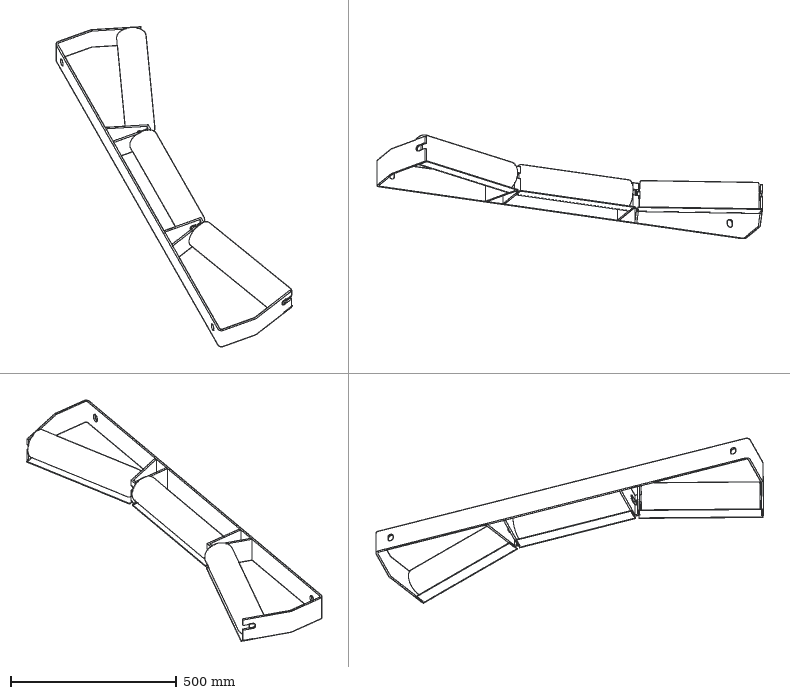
import cadquery as cq
import math


overall_length = 1210.0
overall_depth = 271.98
bar_thickness = 6.0
bar_height = 80.0
bar_top = 30.0
bar_bottom = bar_top - bar_height
bar_middle = (bar_top + bar_bottom) / 2
inner_bend_radius = bar_thickness
outer_bend_radius = inner_bend_radius + bar_thickness
arm_bend_y = 121.0
arm_tip_y = 263.0
bracket_top_y = 128.5

mount_slot_x = 554.0
mount_slot_z = -8.0
mount_slot_width = 17.0
mount_slot_height = 25.0

roller_radius = 45.0
roller_length = 360.0
roller_rounding = 5.0
axle_length = 375.0
axle_width = 18.0
axle_slot_depth = 60.0

axle_end = axle_length / 2
bar_near_face = axle_end - bar_thickness / 2
bar_far_face = axle_end + bar_thickness / 2

strip_width = 36.0
strip_thickness = 2.5

trough_angle = 20.0
lean = math.radians(trough_angle)
middle_axis_y = 100.0
side_axis_x = 385.0
side_roller_reach = (
    (roller_length / 2 - roller_rounding) * math.sin(lean)
    + (roller_radius - roller_rounding) * math.cos(lean)
    + roller_rounding
)
side_axis_y = overall_depth - side_roller_reach

stations = [
    (-side_axis_x, side_axis_y, -trough_angle),
    (0.0, middle_axis_y, 0.0),
    (side_axis_x, side_axis_y, trough_angle),
]


def place(shape, station):
    """Move a shape made along X at the origin to a roller station."""
    x, y, angle = station
    return shape.rotate((0, 0, 0), (0, 0, 1), angle).translate((x, y, 0))


def axle_bar(length, flat_y):
    """Bar along X, round on its -Y side, with a flat +Y side at Y = flat_y."""
    half_width = axle_width / 2
    return (
        cq.Workplane("YZ")
        .workplane(offset=-length / 2)
        .moveTo(flat_y, half_width)
        .lineTo(0, half_width)
        .threePointArc((-half_width, 0), (0, -half_width))
        .lineTo(flat_y, -half_width)
        .close()
        .extrude(length)
    )


def make_roller():
    """Roller with rounded rims, in one piece with its axle."""
    shell = (
        cq.Workplane("YZ")
        .workplane(offset=-roller_length / 2)
        .circle(roller_radius)
        .extrude(roller_length)
        .faces("<X or >X")
        .edges()
        .fillet(roller_rounding)
    )
    return shell.union(axle_bar(axle_length, axle_width / 2))


def make_strip():
    """Thin strip against the lower edges of the bars, from the axis to its +Y side."""
    return (
        cq.Workplane("XY")
        .workplane(offset=bar_bottom - strip_thickness)
        .rect(axle_length, strip_width)
        .extrude(strip_thickness)
        .translate((0, strip_width / 2, 0))
    )


def cut_axle_slots(body):
    """Cut the slots, open towards +Y, that hold the axle ends."""
    cutter = axle_bar(axle_length + 2 * bar_thickness, axle_slot_depth)
    for station in stations:
        body = body.cut(place(cutter, station))
    return body


def bent_bar(points):
    """Bar of full height over a closed outline in the XY plane."""
    return cq.Workplane("XY").workplane(offset=bar_bottom).polyline(points).close().extrude(bar_height)


def make_frame():
    """Base bar whose ends bend up into arms that lean inwards."""
    half_length = overall_length / 2
    arm_lean_x = (arm_tip_y - arm_bend_y) * math.tan(lean)

    outer_corner = (half_length, 0)
    outer_bend = (half_length, arm_bend_y)
    outer_tip = (half_length - arm_lean_x, arm_tip_y)
    inner_tip = (
        outer_tip[0] - bar_thickness * math.cos(lean),
        outer_tip[1] - bar_thickness * math.sin(lean),
    )
    inner_bend = (half_length - bar_thickness, arm_bend_y - bar_thickness * math.tan(lean / 2))
    inner_corner = (half_length - bar_thickness, bar_thickness)

    right_side = [outer_corner, outer_bend, outer_tip, inner_tip, inner_bend, inner_corner]
    left_side = [(-x, y) for x, y in reversed(right_side)]
    frame = bent_bar(right_side + left_side)

    bends = [
        (outer_corner, outer_bend_radius),
        (inner_corner, inner_bend_radius),
        (outer_bend, outer_bend_radius),
        (inner_bend, inner_bend_radius),
    ]
    for (x, y), radius in bends:
        for side in (-1, 1):
            bend_edge = cq.selectors.NearestToPointSelector((side * x, y, bar_middle))
            frame = frame.edges(bend_edge).fillet(radius)

    mount_slots = (
        cq.Workplane("XZ")
        .pushPoints([(-mount_slot_x, mount_slot_z), (mount_slot_x, mount_slot_z)])
        .slot2D(mount_slot_height, mount_slot_width, 90)
        .extrude(-bar_thickness)
    )
    return cut_axle_slots(frame.cut(mount_slots))


def side_cross_point(along, y):
    """Point at height y on the line square to the right-hand roller axis, `along` from its middle."""
    foot_x = side_axis_x + along * math.cos(lean)
    foot_y = side_axis_y + along * math.sin(lean)
    return foot_x - (y - foot_y) * math.tan(lean), y


def make_bracket():
    """Right-hand bracket: an upright leg and a leaning leg joined by a short bridge."""
    foot_y = bar_thickness
    bridge_under_y = bracket_top_y - bar_thickness
    outline = [
        (bar_near_face, foot_y),
        (bar_near_face, bracket_top_y),
        side_cross_point(-bar_near_face, bracket_top_y),
        side_cross_point(-bar_near_face, foot_y),
        side_cross_point(-bar_far_face, foot_y),
        side_cross_point(-bar_far_face, bridge_under_y),
        (bar_far_face, bridge_under_y),
        (bar_far_face, foot_y),
    ]
    return cut_axle_slots(bent_bar(outline))


frame = make_frame()
right_bracket = make_bracket()
brackets = [right_bracket, right_bracket.mirror("YZ")]
rollers = [place(make_roller(), station) for station in stations]
strips = [place(make_strip(), station) for station in stations]

bodies = [frame, *brackets, *rollers, *strips]
result = cq.Compound.makeCompound([body.solids().val() for body in bodies])